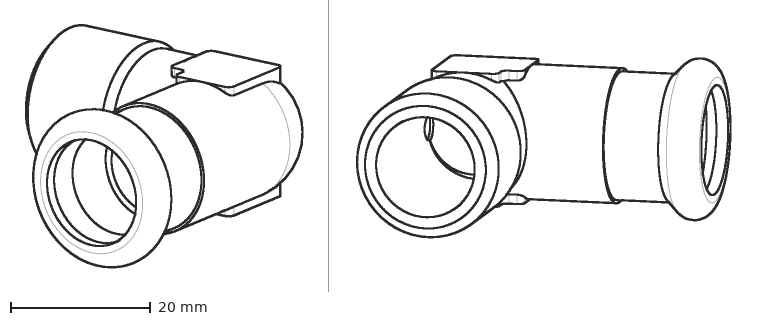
import cadquery as cq
import math

body_radius = 9.7
bore_radius = 6.65
shoulder_y = -20.95

spigot_end_x = -30.45
spigot_radius = 10.45
spigot_bore_radius = 7.28
end_chamfer_length = 1.45
end_chamfer_height = 1.55
spigot_back_x = -16.05
taper_end_x = -14.6

socket_end_y = -35.0
socket_tube_radius = 9.25
socket_bore_radius = 7.7
bead_round_radius = 2.6
bead_radius = 11.6

lip_radius = 7.85
lip_depth = 1.75
groove_radius = 9.95
groove_start_y = -29.05

bend_center_y = 0.6
spot_radius = 1.9
spot_y = 7.4

pad_near = -8.0
pad_far = 4.9
pad_notch = -5.0
pad_corner_radius = 0.9


def revolve_about_x(profile):
    return profile.close().revolve(360, (0, 0, 0), (1, 0, 0))


def revolve_about_y(profile):
    return profile.close().revolve(360, (0, 0, 0), (0, 1, 0))


def spigot_leg():
    profile = (
        cq.Workplane("XY")
        .moveTo(spigot_end_x, 0)
        .lineTo(spigot_end_x, spigot_radius - end_chamfer_height)
        .lineTo(spigot_end_x + end_chamfer_length, spigot_radius)
        .lineTo(spigot_back_x, spigot_radius)
        .lineTo(taper_end_x, body_radius)
        .lineTo(0, body_radius)
        .lineTo(0, 0)
    )
    return revolve_about_x(profile)


def socket_leg():
    face_radius = bead_radius - bead_round_radius
    bead_center_y = socket_end_y + bead_round_radius
    tangent_offset = bead_round_radius * math.sqrt(0.5)
    tangent_radius = face_radius + tangent_offset
    tangent_y = bead_center_y + tangent_offset
    cone_end_y = tangent_y + tangent_radius - socket_tube_radius
    profile = (
        cq.Workplane("XY")
        .moveTo(0, 0)
        .lineTo(body_radius, 0)
        .lineTo(body_radius, shoulder_y)
        .lineTo(socket_tube_radius, shoulder_y)
        .lineTo(socket_tube_radius, cone_end_y)
        .lineTo(tangent_radius, tangent_y)
        .threePointArc((bead_radius, bead_center_y), (face_radius, socket_end_y))
        .lineTo(0, socket_end_y)
    )
    return revolve_about_y(profile)


def pads():
    """Notched square block whose ends form the flats at +Z and -Z."""
    outline = [
        (pad_near, pad_far),
        (pad_far, pad_far),
        (pad_far, pad_near),
        (pad_notch, pad_near),
        (pad_notch, pad_notch),
        (pad_near, pad_notch),
    ]
    return (
        cq.Workplane("XY")
        .polyline(outline)
        .close()
        .extrude(body_radius, both=True)
        .edges("|Z")
        .fillet(pad_corner_radius)
    )


def spigot_bore():
    return cq.Workplane("YZ").circle(spigot_bore_radius).extrude(spigot_end_x)


def socket_bore():
    """Round-ended bore, pipe socket and seal groove as one revolved cavity."""
    lip_y = socket_end_y + lip_depth
    groove_flank_y = groove_start_y - (groove_radius - socket_bore_radius)
    profile = (
        cq.Workplane("XY")
        .moveTo(0, socket_end_y)
        .lineTo(lip_radius, socket_end_y)
        .lineTo(lip_radius, lip_y)
        .lineTo(groove_radius, lip_y)
        .lineTo(groove_radius, groove_flank_y)
        .lineTo(socket_bore_radius, groove_start_y)
        .lineTo(socket_bore_radius, shoulder_y)
        .lineTo(bore_radius, shoulder_y)
        .lineTo(bore_radius, bend_center_y)
        .radiusArc((0, bend_center_y + bore_radius), -bore_radius)
    )
    return revolve_about_y(profile)


def bore_end_spot():
    """Shallow flat-bottomed recess at the closed end of the socket bore."""
    return cq.Workplane("XZ").circle(spot_radius).extrude(-spot_y)


bend = cq.Workplane("XY").sphere(body_radius)
outside = spigot_leg().union(socket_leg()).union(bend).union(pads())
result = outside.cut(spigot_bore()).cut(socket_bore()).cut(bore_end_spot())